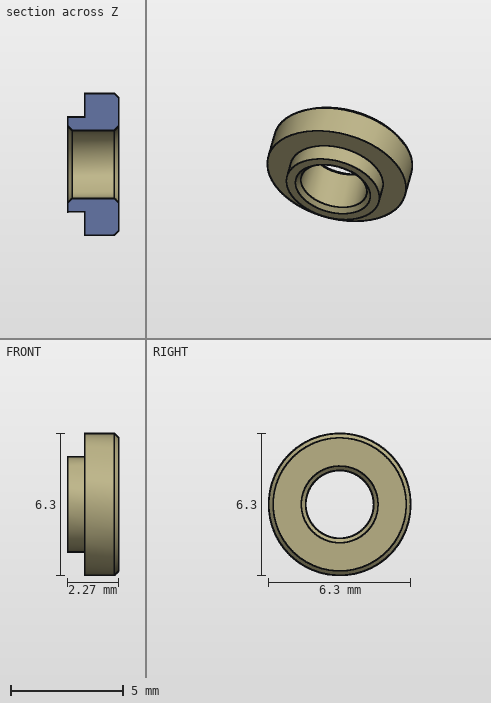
import cadquery as cq

flange_diameter = 6.3
flange_length = 1.51
hub_diameter = 4.22
hub_length = 0.755
bore_diameter = 3.0
edge_chamfer = 0.2

total_length = hub_length + flange_length

hub = cq.Workplane("YZ").circle(hub_diameter / 2).extrude(hub_length)
flange = (
    cq.Workplane("YZ", origin=(hub_length, 0, 0))
    .circle(flange_diameter / 2)
    .extrude(flange_length)
    .faces(">X")
    .chamfer(edge_chamfer)
)

bore = cq.Workplane("YZ").circle(bore_diameter / 2).extrude(total_length)
result = hub.union(flange).cut(bore)
bore_mouths = result.faces("<X or >X").edges(cq.selectors.RadiusNthSelector(0))
result = bore_mouths.chamfer(edge_chamfer)